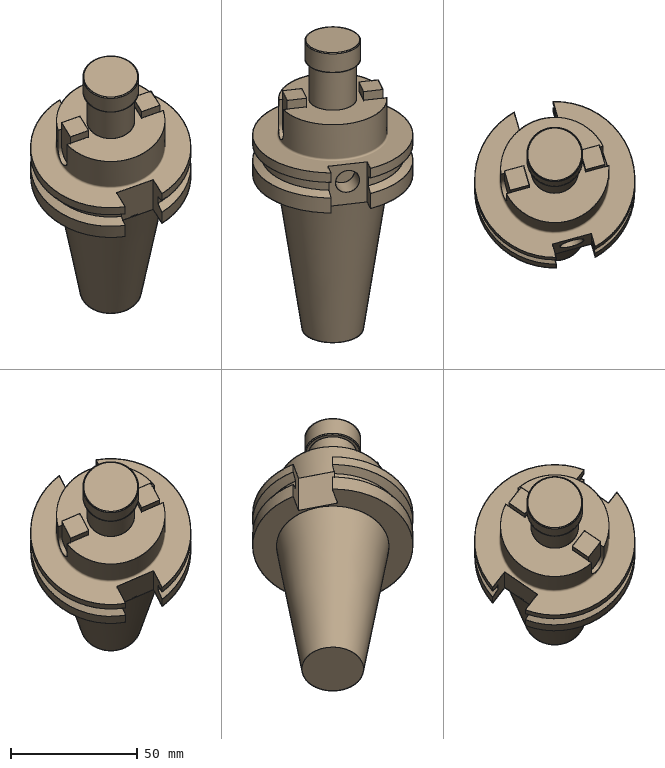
import cadquery as cq

total_height = 130.1
gauge_z = 68.4
flange_bottom_z = 69.2
flange_top_z = 87.3
boss_top_z = 103.4
pilot_top_z = 121.0

small_end_radius = 12.2
gauge_radius = 22.2
flange_radius = 31.7
boss_radius = 21.5
boss_fillet_radius = 0.8
pilot_radius = 9.5

groove_radius = 28.2
groove_center_z = 79.5
groove_floor_width = 3.9
groove_mouth_width = 7.0

drive_slot_width = 16.0
left_slot_floor_x = -25.1
right_slot_floor_x = 22.6

side_hole_diameter = 9.8
side_hole_depth = 8.2

key_width = 8.2
key_inner_y = 11.6
key_length = 8.0
key_bottom_z = 88.2
key_top_z = 107.3

screw_radius = 11.0
screw_chamfer = 0.4


def groove_edge(width, side):
    """Height of a groove edge, above (+1) or below (-1) the groove centre."""
    return groove_center_z + side * width / 2


def make_turned_body():
    """Taper, grooved flange, boss and pilot turned about the Z axis."""
    fillet_start = (boss_radius + boss_fillet_radius, flange_top_z)
    fillet_end = (boss_radius, flange_top_z + boss_fillet_radius)
    return (
        cq.Workplane("XZ")
        .lineTo(small_end_radius, 0)
        .lineTo(gauge_radius, gauge_z)
        .lineTo(gauge_radius, flange_bottom_z)
        .lineTo(flange_radius, flange_bottom_z)
        .lineTo(flange_radius, groove_edge(groove_mouth_width, -1))
        .lineTo(groove_radius, groove_edge(groove_floor_width, -1))
        .lineTo(groove_radius, groove_edge(groove_floor_width, 1))
        .lineTo(flange_radius, groove_edge(groove_mouth_width, 1))
        .lineTo(flange_radius, flange_top_z)
        .lineTo(*fillet_start)
        .tangentArcPoint(fillet_end, relative=False)
        .lineTo(boss_radius, boss_top_z)
        .lineTo(pilot_radius, boss_top_z)
        .lineTo(pilot_radius, pilot_top_z)
        .lineTo(0, pilot_top_z)
        .close()
        .revolve(360, (0, 0), (0, 1))
    )


def make_drive_slot(floor_x):
    """Cutter from the slot floor outwards, through the whole flange height."""
    outer_x = flange_radius if floor_x > 0 else -flange_radius
    return (
        cq.Workplane("XY", origin=((floor_x + outer_x) / 2, 0, flange_bottom_z))
        .rect(abs(outer_x - floor_x), drive_slot_width)
        .extrude(flange_top_z - flange_bottom_z)
    )


def make_side_hole():
    """Cutter for the blind hole, going inwards from the left slot floor."""
    return (
        cq.Workplane("YZ", origin=(left_slot_floor_x, 0, groove_center_z))
        .circle(side_hole_diameter / 2)
        .extrude(side_hole_depth)
    )


def make_key_shape(side, outer_y):
    """Round-bottomed bar from the key's inner face to outer_y, on the +Y or -Y side."""
    half_width = key_width / 2
    arc_z = key_bottom_z + half_width
    return (
        cq.Workplane("XZ", origin=(0, side * key_inner_y, 0))
        .moveTo(-half_width, key_top_z)
        .lineTo(-half_width, arc_z)
        .threePointArc((0, key_bottom_z), (half_width, arc_z))
        .lineTo(half_width, key_top_z)
        .close()
        .extrude(-side * (outer_y - key_inner_y))
    )


def make_holder():
    """Tool holder with drive slots, side hole and key slots."""
    body = make_turned_body()
    for floor_x in (left_slot_floor_x, right_slot_floor_x):
        body = body.cut(make_drive_slot(floor_x))
    body = body.cut(make_side_hole())
    for side in (-1, 1):
        body = body.cut(make_key_shape(side, boss_radius + boss_fillet_radius))
    return body


def make_drive_key(side):
    """Drive key that fills the inner part of its slot and stands above the boss."""
    return make_key_shape(side, key_inner_y + key_length)


def make_lock_screw():
    """Chamfered round head on the end of the pilot."""
    return (
        cq.Workplane("XY", origin=(0, 0, pilot_top_z))
        .circle(screw_radius)
        .extrude(total_height - pilot_top_z)
        .edges("%CIRCLE")
        .chamfer(screw_chamfer)
    )


holder = make_holder()
drive_keys = [make_drive_key(side) for side in (-1, 1)]
lock_screw = make_lock_screw()

result = cq.Compound.makeCompound(
    [holder.val(), *[key.val() for key in drive_keys], lock_screw.val()]
)